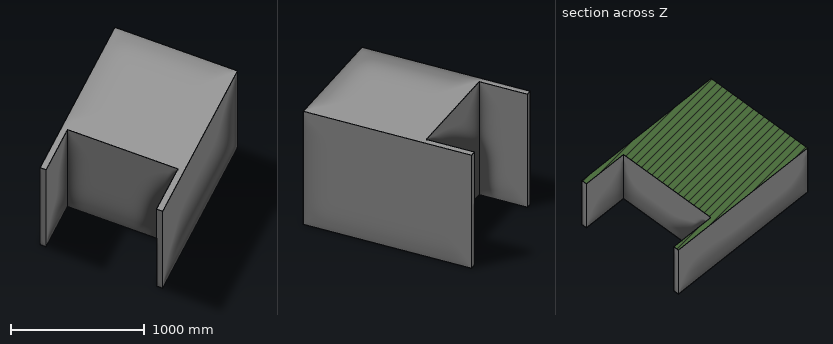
import cadquery as cq

length = 1400.0
side = 1000.0
wall_thickness = 50.0
wall_reach = 400.0

envelope = cq.Workplane("XY").box(side, length, side)

recess_width = side - 2 * wall_thickness
recess_center_y = (wall_reach - length) / 2
recess = (
    cq.Workplane("XY")
    .box(recess_width, wall_reach, side)
    .translate((0, recess_center_y, 0))
)

result = envelope.cut(recess)